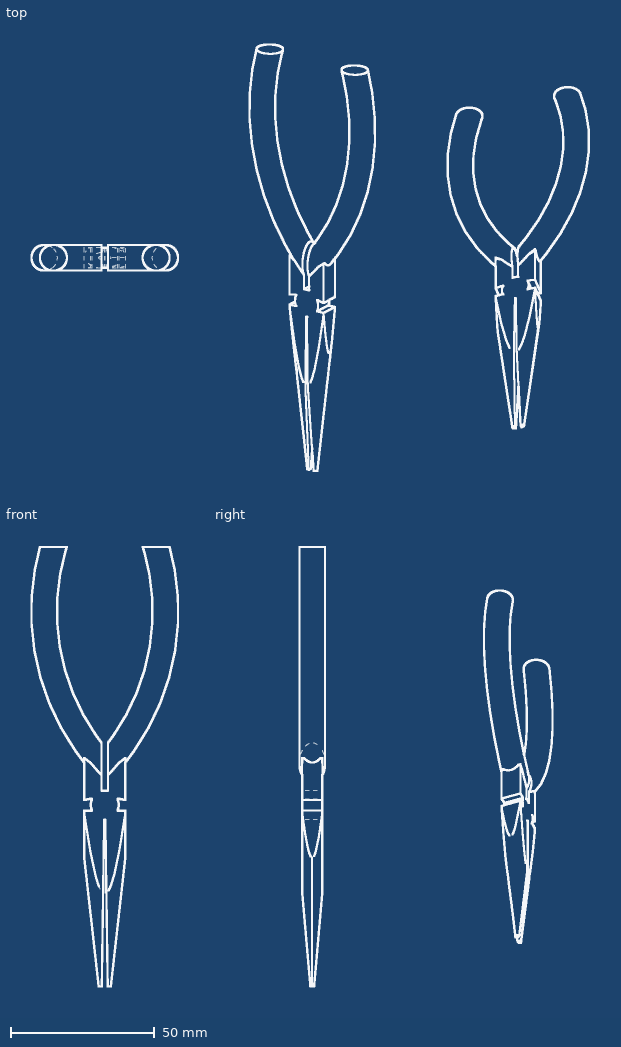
import cadquery as cq
import math

length = 152.8
overall_width = 51.2

handle_diameter = 9.0
handle_bend_radius = 79.5
handle_widest_z = 130.3
handle_overrun = 4.6

body_width = 14.4
body_thickness = 7.0
shoulder_z = 79.5
crotch_z = 74.1
slot_width = 2.1
slot_bottom_z = 68.1

pivot_radius = 4.9
notch_bottom_z = 61.1
notch_top_z = 65.2
notch_lip_drop = 0.5

tip_half_width = 2.1
tip_half_thickness = 0.8
jaw_half_width = 9.0
jaw_half_thickness = 6.0
jaw_gap_top_z = 58.0
jaw_gap_top_width = 0.3
jaw_gap_tip_width = 2.0

half_width = body_width / 2
cut_depth = 2 * handle_diameter


def slab(points, thickness):
    """Extrude an outline in the XZ plane, centred on y = 0."""
    return cq.Workplane("XZ").polyline(points).close().extrude(thickness / 2, both=True)


def handle():
    """Right-hand handle: bar swept along the arc from the slot to the flat end."""
    centre_x = (overall_width - handle_diameter) / 2 - handle_bend_radius

    def arc_point(angle):
        return (
            centre_x + handle_bend_radius * math.cos(angle),
            handle_widest_z + handle_bend_radius * math.sin(angle),
        )

    start = -math.acos((-handle_diameter / 2 - centre_x) / handle_bend_radius)
    end = math.asin((length + handle_overrun - handle_widest_z) / handle_bend_radius)
    path = (
        cq.Workplane("XZ")
        .moveTo(*arc_point(start))
        .threePointArc(arc_point((start + end) / 2), arc_point(end))
    )
    start_x, start_z = arc_point(start)
    section = cq.Plane(
        origin=(start_x, 0, start_z),
        xDir=(0, 1, 0),
        normal=(-math.sin(start), 0, math.cos(start)),
    )
    bar = cq.Workplane(section).circle(handle_diameter / 2).sweep(path)
    keep = cq.Workplane("XY").box(
        overall_width, cut_depth, length, centered=(False, True, False)
    ).translate((slot_width / 2, 0, 0))
    return bar.intersect(keep)


def body():
    """Flat plate from the jaw root up into the handles, with notches beside the pivot."""
    plate = slab(
        [
            (-half_width, notch_bottom_z),
            (half_width, notch_bottom_z),
            (half_width, shoulder_z),
            (0, crotch_z),
            (-half_width, shoulder_z),
        ],
        body_thickness,
    )
    for side in (-1, 1):
        notch = slab(
            [
                (0, notch_bottom_z),
                (side * half_width, notch_bottom_z),
                (side * half_width, notch_top_z - notch_lip_drop),
                (side * pivot_radius, notch_top_z),
                (0, notch_top_z),
            ],
            cut_depth,
        )
        plate = plate.cut(notch)
    pivot = (
        cq.Workplane("XZ")
        .center(0, (notch_bottom_z + notch_top_z) / 2)
        .circle(pivot_radius)
        .extrude(body_thickness / 2, both=True)
    )
    return plate.union(pivot)


def jaws():
    """Elliptical cone clipped by the flat faces of the body and split by a tapered gap."""
    cone = (
        cq.Workplane("XY")
        .ellipse(tip_half_width, tip_half_thickness)
        .workplane(offset=notch_bottom_z)
        .ellipse(jaw_half_width, jaw_half_thickness)
        .loft(ruled=True)
    )
    envelope = cq.Workplane("XY").box(
        body_width, body_thickness, notch_bottom_z, centered=(True, True, False)
    )
    gap = slab(
        [
            (-jaw_gap_tip_width / 2, 0),
            (jaw_gap_tip_width / 2, 0),
            (jaw_gap_top_width / 2, jaw_gap_top_z),
            (-jaw_gap_top_width / 2, jaw_gap_top_z),
        ],
        cut_depth,
    )
    return cone.intersect(envelope).cut(gap)


slot = cq.Workplane("XY").box(
    slot_width, cut_depth, length - slot_bottom_z, centered=(True, True, False)
).translate((0, 0, slot_bottom_z))

right_handle = handle()
left_handle = right_handle.mirror("YZ")
result = jaws().union(body().cut(slot)).union(right_handle).union(left_handle)